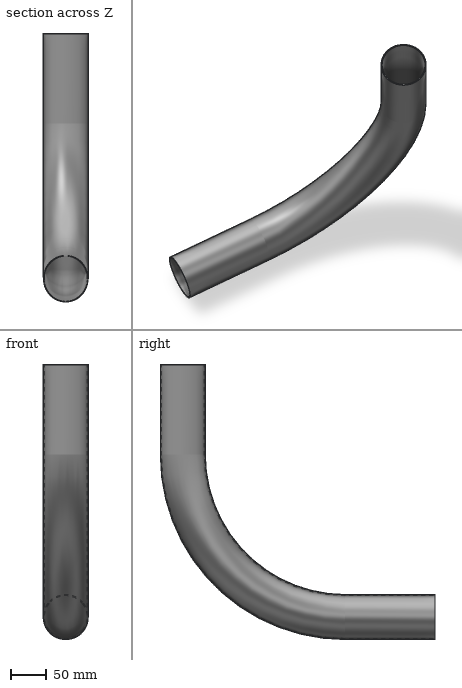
import cadquery as cq

outer_diameter = 63.5
inner_diameter = 60.3
bend_radius = 228.6
straight_length = 127.0
bend_angle = 90.0


def tube_profile(plane):
    """Ring-shaped tube section, centred on the origin of the given plane."""
    return cq.Workplane(plane).circle(outer_diameter / 2).circle(inner_diameter / 2)


def vertical_leg():
    """Straight leg rising along +Z from the upper end of the elbow."""
    return tube_profile("XY").extrude(straight_length)


def elbow():
    """Quarter bend from the vertical leg round to the horizontal leg."""
    axis_start = (-1, bend_radius)
    axis_end = (1, bend_radius)
    return tube_profile("XY").revolve(bend_angle, axis_start, axis_end)


def horizontal_leg():
    """Straight leg running along +Y from the lower end of the elbow."""
    start = cq.Plane(origin=(0, bend_radius, -bend_radius), xDir=(1, 0, 0), normal=(0, 1, 0))
    return tube_profile(start).extrude(straight_length)


result = vertical_leg().union(elbow()).union(horizontal_leg())